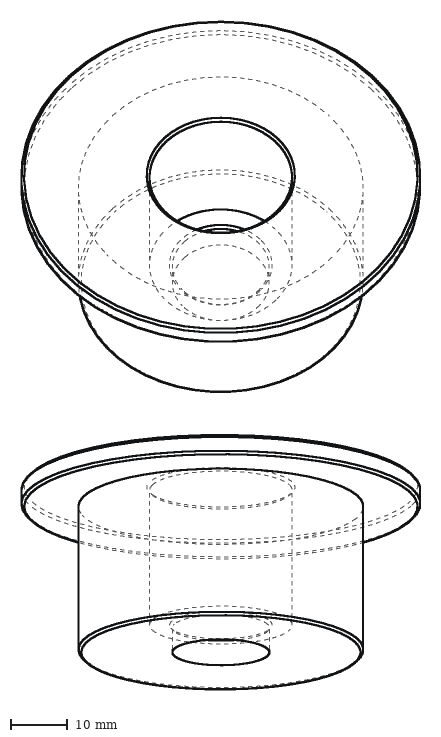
import cadquery as cq

flange_diameter = 70.0
flange_thickness = 3.5
sleeve_diameter = 50.0
total_height = 30.0

wide_bore_diameter = 25.0
narrow_bore_diameter = 17.0
floor_thickness = 5.0
wide_bore_depth = total_height - floor_thickness

edge_chamfer = 0.5


def chamfered_disc(diameter, bottom, height, edges):
    """Vertical cylinder with the selected rim edges chamfered."""
    disc = cq.Workplane("XY").workplane(offset=bottom).circle(diameter / 2).extrude(height)
    return disc.edges(edges).chamfer(edge_chamfer)


def bore_with_lead_in(diameter, top, depth):
    """Cutter for a bore going down from the given height, with a chamfered mouth."""
    radius = diameter / 2
    return (
        cq.Workplane("XZ")
        .moveTo(0, top)
        .lineTo(radius + edge_chamfer, top)
        .lineTo(radius, top - edge_chamfer)
        .lineTo(radius, top - depth)
        .lineTo(0, top - depth)
        .close()
        .revolve(360, (0, 0, 0), (0, 1, 0))
    )


flange = chamfered_disc(
    flange_diameter, total_height - flange_thickness, flange_thickness, "%CIRCLE"
)
sleeve = chamfered_disc(sleeve_diameter, 0, total_height - flange_thickness, "<Z")

wide_bore = bore_with_lead_in(wide_bore_diameter, total_height, wide_bore_depth)
narrow_bore = bore_with_lead_in(narrow_bore_diameter, floor_thickness, floor_thickness)

result = flange.union(sleeve).cut(wide_bore).cut(narrow_bore)